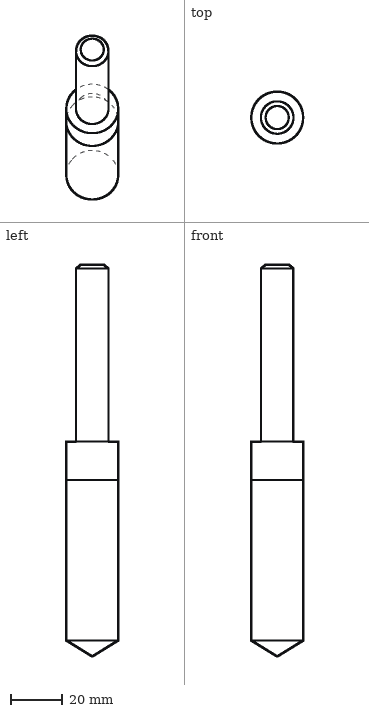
import cadquery as cq

total_length = 152.4
body_diameter = 20.3
shank_diameter = 12.6

point_height = 6.2
cutter_length = 68.7
collar_length = 14.8

chamfer_width = 1.8
chamfer_height = 1.5

body_radius = body_diameter / 2
shank_radius = shank_diameter / 2
collar_top = cutter_length + collar_length


def make_cutter():
    """Cylinder with a conical point at its lower end."""
    outline = (
        cq.Workplane("XZ")
        .moveTo(0, 0)
        .lineTo(body_radius, point_height)
        .lineTo(body_radius, cutter_length)
        .lineTo(0, cutter_length)
        .close()
    )
    return outline.revolve(360, (0, 0), (0, 1))


def make_holder():
    """Collar flush with the cutter, carrying a slimmer shank with a chamfered end."""
    outline = (
        cq.Workplane("XZ")
        .moveTo(0, cutter_length)
        .lineTo(body_radius, cutter_length)
        .lineTo(body_radius, collar_top)
        .lineTo(shank_radius, collar_top)
        .lineTo(shank_radius, total_length - chamfer_height)
        .lineTo(shank_radius - chamfer_width, total_length)
        .lineTo(0, total_length)
        .close()
    )
    return outline.revolve(360, (0, 0), (0, 1))


cutter = make_cutter()
holder = make_holder()

result = cq.Compound.makeCompound([cutter.val(), holder.val()])